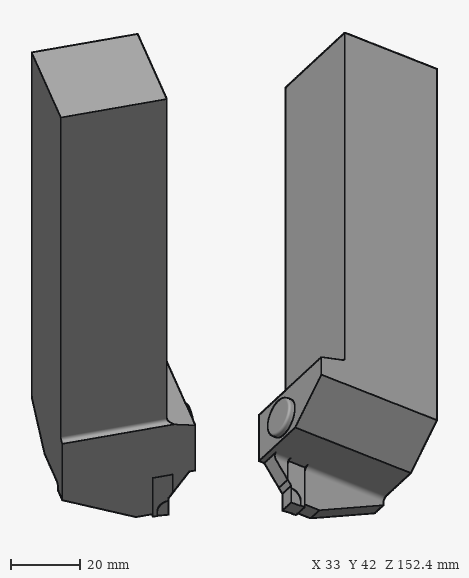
import cadquery as cq
import math

total_height = 152.4
shank_width = 31.4
shank_depth = 31.9
head_width = 33.0
head_depth = 40.0
ledge_height = 33.5
ledge_angle = 15.0
ledge_fillet = 1.0
underside_height = 14.6
bevel_height = 25.0
bevel_run = 13.9

blade_thickness = 4.7
blade_bottom = 1.2
blade_front_height = 12.2
blade_tip_start = 22.1
blade_clamp_end = 38.1
blade_fillet = 1.5

insert_back = 27.1
insert_top = 33.0
slope_end_height = 6.1
flank_rise = 0.3
relief_radius = 3.4
relief_center_height = 1.8
relief_depth = 0.2

screw_diameter = 11.9
screw_height = 2.0
screw_x = 20.0
screw_z = 21.8
screw_rounding = 0.8

blade_x = head_width - blade_thickness
ledge_slope = math.tan(math.radians(ledge_angle))
clamp_slope = (underside_height - slope_end_height) / (blade_clamp_end - shank_depth)
clamp_tip_height = slope_end_height + clamp_slope * (insert_top - shank_depth)


def extrude_along_x(points, start, length):
    """Prism with a (Y, Z) outline."""
    return cq.Workplane("YZ", origin=(start, 0, 0)).polyline(points).close().extrude(length)


def fillet_ledge_root(prism, point):
    """Round the inner edge where the step meets the shank, nearest to the point."""
    root = prism.edges(cq.NearestToPointSelector(point))
    return root.fillet(ledge_fillet)


def make_shank_and_head():
    """Square shank above a wider head, with a bevelled lower corner."""
    front_outline = [
        (0, total_height),
        (shank_width, total_height),
        (shank_width, ledge_height),
        (head_width, ledge_height - ledge_slope * (head_width - shank_width)),
        (head_width, underside_height),
        (bevel_run, underside_height),
        (0, bevel_height),
    ]
    side_outline = [
        (0, total_height),
        (shank_depth, total_height),
        (shank_depth, ledge_height),
        (head_depth, ledge_height - ledge_slope * (head_depth - shank_depth)),
        (head_depth, underside_height),
        (0, underside_height),
    ]
    front_prism = cq.Workplane("XZ").polyline(front_outline).close().extrude(-head_depth)
    front_prism = fillet_ledge_root(front_prism, (shank_width, head_depth / 2, ledge_height))
    side_prism = extrude_along_x(side_outline, 0, head_width)
    side_prism = fillet_ledge_root(side_prism, (head_width / 2, shank_depth, ledge_height))
    return front_prism.intersect(side_prism)


def make_blade():
    """Thin blade below the head, with a concave fillet at its root."""
    outline = [
        (0, underside_height),
        (0, blade_front_height),
        (blade_tip_start, blade_bottom),
        (shank_depth, blade_bottom),
        (shank_depth, slope_end_height),
        (blade_clamp_end, underside_height),
    ]
    outer_x = blade_x - blade_fillet
    fillet_center_height = underside_height - blade_fillet
    prism = extrude_along_x(outline, outer_x, head_width - outer_x)
    section = (
        cq.Workplane("XZ")
        .moveTo(outer_x, underside_height)
        .threePointArc(
            (outer_x + blade_fillet * math.sin(math.pi / 4),
             fillet_center_height + blade_fillet * math.cos(math.pi / 4)),
            (blade_x, fillet_center_height),
        )
        .lineTo(blade_x, 0)
        .lineTo(head_width, 0)
        .lineTo(head_width, underside_height)
        .close()
        .extrude(-head_depth)
    )
    return prism.intersect(section)


def make_screw_head():
    """Low round screw head on the +Y face of the head."""
    return (
        cq.Workplane("XZ", origin=(screw_x, head_depth, screw_z))
        .circle(screw_diameter / 2)
        .extrude(-screw_height)
        .faces(">Y")
        .edges()
        .fillet(screw_rounding)
    )


def make_insert_seat():
    """Slot through the blade and its root fillet."""
    width = blade_thickness + blade_fillet
    slot = cq.Workplane("XY").box(width, insert_top - insert_back, underside_height, centered=False)
    return slot.translate((head_width - width, insert_back, 0))


def make_holder():
    body = make_shank_and_head().union(make_blade()).union(make_screw_head())
    return body.cut(make_insert_seat())


def make_side_relief():
    """Shallow wedge with a round boundary, deepening away from the rake face."""
    wedge = (
        cq.Workplane("XY")
        .moveTo(blade_x, shank_depth)
        .lineTo(blade_x, shank_depth - relief_radius)
        .lineTo(blade_x + relief_depth, shank_depth - relief_radius)
        .close()
        .extrude(relief_center_height + relief_radius)
    )
    boundary_disc = (
        cq.Workplane("YZ", origin=(blade_x, shank_depth, relief_center_height))
        .circle(relief_radius)
        .extrude(blade_thickness)
    )
    lower_part = (
        cq.Workplane("XY")
        .box(blade_thickness, relief_radius, relief_center_height, centered=False)
        .translate((blade_x, shank_depth - relief_radius, 0))
    )
    return wedge.intersect(boundary_disc.union(lower_part))


def make_insert():
    """Cutting insert, relieved on both sides of its tip."""
    outline = [
        (insert_back, underside_height),
        (insert_top, underside_height),
        (insert_top, clamp_tip_height),
        (shank_depth, slope_end_height),
        (shank_depth, 0),
        (insert_back, flank_rise),
    ]
    blank = extrude_along_x(outline, blade_x, blade_thickness)
    relief = make_side_relief()
    middle = (blade_x + blade_thickness / 2, 0, 0)
    return blank.cut(relief).cut(relief.mirror("YZ", middle))


holder = make_holder()
insert = make_insert()
result = cq.Compound.makeCompound([holder.solids().val(), insert.solids().val()])